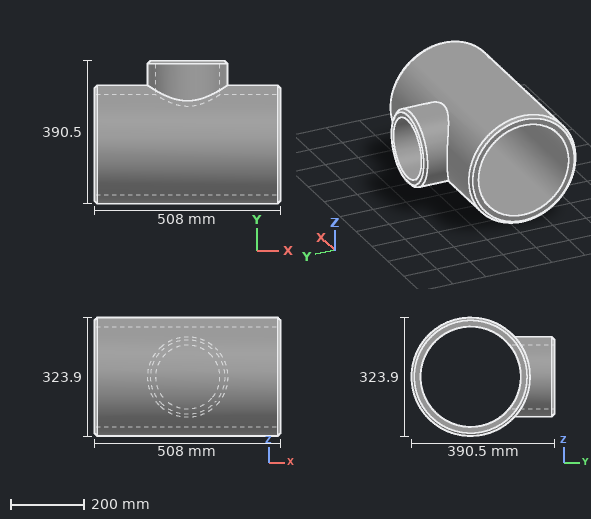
import cadquery as cq

RUN_LENGTH = 508.0
RUN_OUTER_DIAMETER = 323.85
RUN_WALL = 25.4

BRANCH_REACH = 228.6
BRANCH_OUTER_DIAMETER = 219.075
BRANCH_WALL = 22.225

BEVEL = 8.0

run_bore_diameter = RUN_OUTER_DIAMETER - 2 * RUN_WALL
branch_bore_diameter = BRANCH_OUTER_DIAMETER - 2 * BRANCH_WALL


def run_cylinder(diameter):
    """Cylinder along X, centred on the origin."""
    return cq.Workplane("YZ").circle(diameter / 2).extrude(RUN_LENGTH / 2, both=True)


def branch_cylinder(diameter):
    """Cylinder along +Y, from the run axis to the branch end face."""
    return cq.Workplane("XZ").circle(diameter / 2).extrude(-BRANCH_REACH)


run_shell = run_cylinder(RUN_OUTER_DIAMETER).faces("<X or >X").edges().chamfer(BEVEL)
branch_shell = branch_cylinder(BRANCH_OUTER_DIAMETER).faces(">Y").edges().chamfer(BEVEL)

result = (
    run_shell.union(branch_shell)
    .cut(run_cylinder(run_bore_diameter))
    .cut(branch_cylinder(branch_bore_diameter))
)